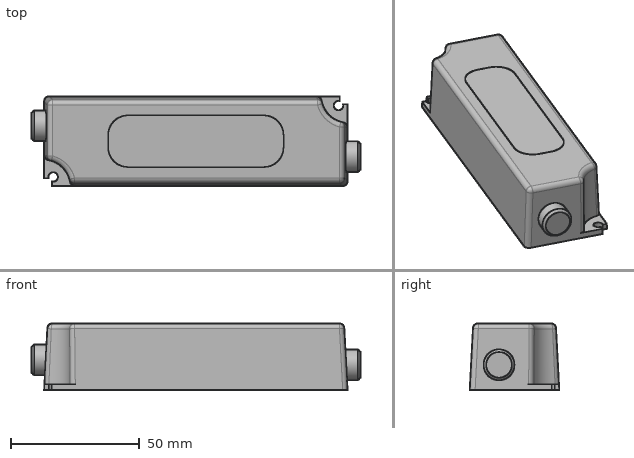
import cadquery as cq
import math

overall_length = 128.0
body_width = 35.0
body_height = 26.0
left_boss_reach = 4.9
right_boss_reach = 5.0
body_length = overall_length - left_boss_reach - right_boss_reach

draft_angle = 3.0
edge_radius = 2.0

foot_thickness = 2.3
scoop_radius = 10.2
screw_radius = 1.8
screw_inset = 3.6
corner_notch = 3.1

boss_radius = 6.0
boss_chamfer = 1.0
boss_offset = 6.0
left_boss_height = 11.8
right_boss_height = 9.9

label_length = 68.2
label_width = 20.1
label_corner_radius = 7.7
label_depth = 0.1

half_length = body_length / 2
half_width = body_width / 2
wall_inset = body_height * math.tan(math.radians(draft_angle))
mounting_corner_signs = (-1, 1)


def drafted_block():
    return (
        cq.Workplane("XY")
        .rect(body_length, body_width)
        .workplane(offset=body_height)
        .rect(body_length - 2 * wall_inset, body_width - 2 * wall_inset)
        .loft(ruled=True)
    )


def corner_scoop(sign):
    return (
        cq.Workplane("XY")
        .center(sign * half_length, sign * half_width)
        .circle(scoop_radius)
        .extrude(body_height)
    )


def housing():
    """Drafted cover with scooped corners and rounded upright and top edges."""
    cover = drafted_block()
    for sign in mounting_corner_signs:
        cover = cover.cut(corner_scoop(sign))
    return cover.edges("not <Z").fillet(edge_radius)


def mounting_foot(sign):
    """Thin foot filling the base of a scoop, with a notch and screw slot."""
    patch_size = scoop_radius + 2 * edge_radius
    corner_x = sign * half_length
    corner_y = sign * half_width
    patch = (
        cq.Workplane("XY")
        .center(corner_x, corner_y)
        .rect(2 * patch_size, 2 * patch_size)
        .extrude(foot_thickness)
    )
    notch = (
        cq.Workplane("XY")
        .center(corner_x, corner_y)
        .rect(2 * corner_notch, 2 * corner_notch)
        .extrude(foot_thickness)
    )
    screw_hole = (
        cq.Workplane("XY")
        .center(corner_x - sign * screw_inset, corner_y - sign * screw_inset)
        .circle(screw_radius)
        .extrude(foot_thickness)
    )
    return drafted_block().intersect(patch).cut(notch).cut(screw_hole)


def connector_boss(sign, reach, height):
    """Chamfered cylinder that starts inside the drafted end wall."""
    return (
        cq.Workplane("YZ", origin=(sign * (half_length - wall_inset), -sign * boss_offset, height))
        .circle(boss_radius)
        .extrude(sign * (reach + wall_inset))
        .faces(">X" if sign > 0 else "<X")
        .chamfer(boss_chamfer)
    )


def label_recess():
    return (
        cq.Workplane("XY", origin=(0, 0, body_height - label_depth))
        .rect(label_length, label_width)
        .extrude(label_depth)
        .edges("|Z")
        .fillet(label_corner_radius)
    )


result = housing()
for corner_sign in mounting_corner_signs:
    result = result.union(mounting_foot(corner_sign))
result = (
    result
    .union(connector_boss(-1, left_boss_reach, left_boss_height))
    .union(connector_boss(1, right_boss_reach, right_boss_height))
    .cut(label_recess())
)